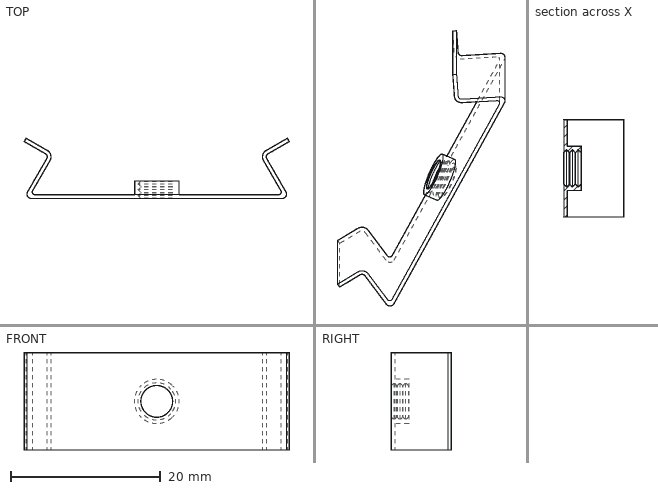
import cadquery as cq
import math

length = 35.4
depth = 8.07
strip_width = 13.0
thickness = 0.53

leg_angle = math.radians(60)
lip_angle = math.radians(30)
foot_overhang = 0.07
foot_outer_radius = 0.6
foot_inner_radius = 0.35
bend_inner_radius = 0.45
bend_outer_radius = bend_inner_radius + thickness

boss_diameter = 5.95
boss_end = 2.37
hole_diameter = 4.2
thread_diameter = 5.0
thread_pitch = 0.78
groove_width = 0.67
groove_count = 3

leg_slope = math.tan(leg_angle)
lip_slope = math.tan(lip_angle)
tip_x = length / 2
tip_y = depth - thickness * math.cos(lip_angle)
foot_x = tip_x + foot_overhang
bend_x = (leg_slope * foot_x + lip_slope * tip_x - tip_y) / (leg_slope + lip_slope)
bend_y = leg_slope * (foot_x - bend_x)
foot_outer = (foot_x, 0)
foot_inner = (foot_x - thickness / math.tan(leg_angle / 2), thickness)
bend_concave = (bend_x, bend_y)
bend_convex = (
    bend_x - thickness * (math.sin(leg_angle) + math.sin(lip_angle)),
    bend_y + thickness * (math.cos(lip_angle) - math.cos(leg_angle)),
)
tip_outer = (tip_x, tip_y)
tip_inner = (tip_x - thickness * math.sin(lip_angle), depth)


def mirrored(point):
    return (-point[0], point[1])


def round_corner(body, corner, radius):
    """Round the two mirrored edges along Z that pass through a profile corner."""
    for x, y in (corner, mirrored(corner)):
        selector = cq.selectors.NearestToPointSelector((x, y, 0))
        body = body.edges("|Z").edges(selector).fillet(radius)
    return body


def make_clip():
    right_arm = [foot_outer, bend_concave, tip_outer, tip_inner, bend_convex, foot_inner]
    left_arm = [mirrored(point) for point in reversed(right_arm)]
    body = cq.Workplane("XY").polyline(right_arm + left_arm).close()
    body = body.extrude(strip_width / 2, both=True)
    body = round_corner(body, foot_outer, foot_outer_radius)
    body = round_corner(body, foot_inner, foot_inner_radius)
    body = round_corner(body, bend_concave, bend_inner_radius)
    return round_corner(body, bend_convex, bend_outer_radius)


def cylinder(diameter, end):
    """Cylinder along +Y from the front face."""
    return cq.Workplane("XZ").circle(diameter / 2).extrude(-end)


def make_groove(center_y):
    """V-shaped thread groove, as a ring around the hole axis."""
    hole_radius = hole_diameter / 2
    profile = [
        (0, center_y - groove_width / 2),
        (hole_radius, center_y - groove_width / 2),
        (thread_diameter / 2, center_y),
        (hole_radius, center_y + groove_width / 2),
        (0, center_y + groove_width / 2),
    ]
    return cq.Workplane("XY").polyline(profile).close().revolve(360, (0, 0), (0, 1))


result = make_clip().union(cylinder(boss_diameter, boss_end))
result = result.cut(cylinder(hole_diameter, boss_end))
for index in range(groove_count):
    offset = (index - (groove_count - 1) / 2) * thread_pitch
    result = result.cut(make_groove(boss_end / 2 + offset))